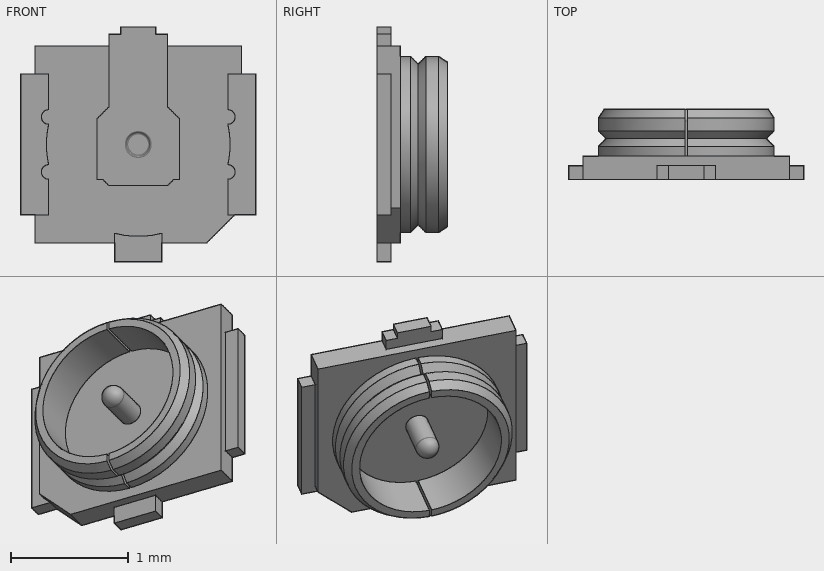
import cadquery as cq
import math


overall_span = 2.0
overall_depth = 0.6
half_span = overall_span / 2

housing_width = 1.76
housing_height = 1.68
housing_depth = 0.2
key_corner_leg = 0.3

sheet_thickness = 0.12
clearance_radius = 0.782

side_pad_inner_x = 0.762
side_pad_height = 1.2
notch_radius = 0.062
notch_offset = 0.235

rear_pad_width = 0.4

stem_half_width = 0.25
paddle_half_width = 0.35
tab_half_width = 0.15
tab_height = 0.06
shoulder_z = half_span - tab_height
paddle_top_z = 0.22
paddle_corner_z = -0.3
paddle_corner_half_width = 0.3
paddle_bottom_z = -0.35
stem_foot_z = paddle_top_z + (paddle_half_width - stem_half_width)

pin_radius = 0.1

dimple_wall_radius = pin_radius
dimple_fillet = 0.01

shell_radius = 0.75
shell_inner_radius = shell_radius - sheet_thickness
groove_depth = 0.065
groove_y = 0.35
rim_chamfer_radial = 0.05
rim_chamfer_axial = 0.075
slit_width = 0.02


def plate(outline, depth):
    """Extrude an X-Z sketch from the mounting face to the given depth along +Y."""
    return outline.extrude(-depth)


def sketch_plane():
    """X-Z plane whose local axes are X and Z."""
    return cq.Workplane("XZ")


def disc(radius, depth):
    return plate(sketch_plane().circle(radius), depth)


def make_contact_blade():
    """Flat stem and paddle, without dimple or pin."""
    right_side = [
        (tab_half_width, half_span),
        (tab_half_width, shoulder_z),
        (stem_half_width, shoulder_z),
        (stem_half_width, stem_foot_z),
        (paddle_half_width, paddle_top_z),
        (paddle_half_width, paddle_corner_z),
        (paddle_corner_half_width, paddle_corner_z),
        (stem_half_width, paddle_bottom_z),
    ]
    left_side = [(-x, z) for x, z in reversed(right_side)]
    return plate(sketch_plane().polyline(right_side + left_side).close(), sheet_thickness)


def make_dimple():
    """Shallow round hollow whose wall sweeps from a rounded mouth into a rounded floor."""
    mouth_radius = dimple_wall_radius + dimple_fillet
    floor_radius = dimple_wall_radius - dimple_fillet
    depth = 2 * dimple_fillet
    arc_middle = dimple_fillet * math.sqrt(0.5)
    return (
        cq.Workplane("XY")
        .lineTo(mouth_radius, 0)
        .threePointArc(
            (mouth_radius - arc_middle, dimple_fillet - arc_middle),
            (dimple_wall_radius, dimple_fillet),
        )
        .threePointArc(
            (floor_radius + arc_middle, dimple_fillet + arc_middle),
            (floor_radius, depth),
        )
        .lineTo(0, depth)
        .close()
        .revolve(360, (0, 0), (0, 1))
    )


def make_pin():
    """Round pin standing on the contact, its hemispherical tip level with the shell rim."""
    tip_base_y = overall_depth - pin_radius
    tip_middle = pin_radius * math.sqrt(0.5)
    return (
        cq.Workplane("XY")
        .moveTo(0, sheet_thickness)
        .lineTo(pin_radius, sheet_thickness)
        .lineTo(pin_radius, tip_base_y)
        .threePointArc((tip_middle, tip_base_y + tip_middle), (0, overall_depth))
        .close()
        .revolve(360, (0, 0), (0, 1))
    )


def make_contact(blade):
    """Blade with the dimple behind the mating axis and the pin standing along it."""
    return blade.cut(make_dimple()).union(make_pin())


def make_side_pad(side):
    """Side pad at -X (side = -1) or +X (side = 1), notched along its inner edge."""
    width = half_span - side_pad_inner_x
    centre_x = side * (half_span + side_pad_inner_x) / 2
    blank = plate(sketch_plane().center(centre_x, 0).rect(width, side_pad_height), sheet_thickness)
    notch_centres = [(side * side_pad_inner_x, z) for z in (-notch_offset, notch_offset)]
    notches = plate(sketch_plane().pushPoints(notch_centres).circle(notch_radius), sheet_thickness)
    return blank.cut(disc(clearance_radius, sheet_thickness)).cut(notches)


def make_rear_pad():
    """Pad at -Z whose inner edge follows the clearance circle."""
    blank = plate(sketch_plane().center(0, -half_span / 2).rect(rear_pad_width, half_span), sheet_thickness)
    return blank.cut(disc(clearance_radius, sheet_thickness))


def make_housing(inserts):
    """Plate with one keyed corner, and a pocket matching every metal insert."""
    housing = plate(sketch_plane().rect(housing_width, housing_height), housing_depth)
    housing = housing.edges("|Y and >X and <Z").chamfer(key_corner_leg)
    for insert in inserts:
        housing = housing.cut(insert)
    return housing


def make_shell_half(side):
    """Half of the grooved ring, on the -X (side = -1) or +X (side = 1) side of the slit."""
    ring = (
        cq.Workplane("XY")
        .polyline([
            (shell_inner_radius, housing_depth),
            (shell_radius, housing_depth),
            (shell_radius, groove_y - groove_depth),
            (shell_radius - groove_depth, groove_y),
            (shell_radius, groove_y + groove_depth),
            (shell_radius, overall_depth - rim_chamfer_axial),
            (shell_radius - rim_chamfer_radial, overall_depth),
            (shell_inner_radius, overall_depth),
        ])
        .close()
        .revolve(360, (0, 0), (0, 1))
    )
    keep_centre_x = side * (half_span + slit_width) / 2
    keep = plate(sketch_plane().center(keep_centre_x, 0).rect(half_span, overall_span), overall_depth)
    return ring.intersect(keep)


sides = (-1, 1)
contact_blade = make_contact_blade()
contact = make_contact(contact_blade)
side_pads = [make_side_pad(side) for side in sides]
rear_pad = make_rear_pad()
housing = make_housing([contact_blade, contact, *side_pads, rear_pad])
shell_halves = [make_shell_half(side) for side in sides]

result = cq.Compound.makeCompound([
    housing.val(),
    contact.val(),
    *[pad.val() for pad in side_pads],
    rear_pad.val(),
    *[half.val() for half in shell_halves],
])